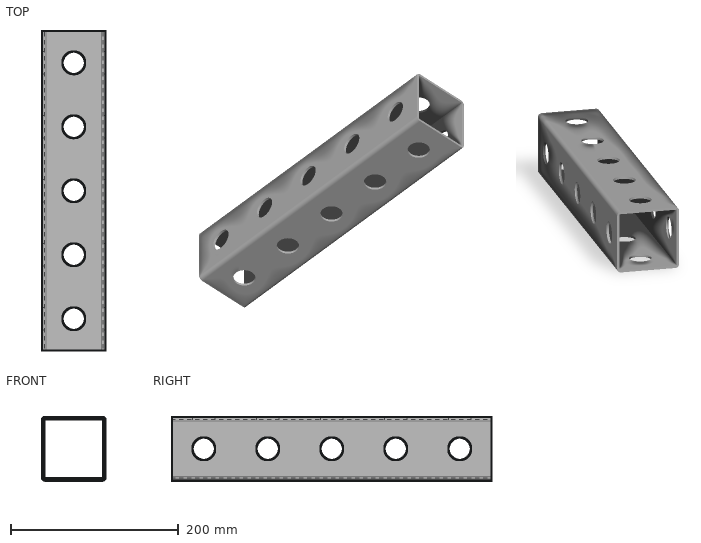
import cadquery as cq

length = 381.0
width = 76.2
wall = 3.0
outer_radius = 5.0

hole_diameter = 26.5
hole_count = 5
hole_pitch = length / hole_count


def square_bar(side):
    """Solid square bar along Y, centred on the origin."""
    return cq.Workplane("XY").box(side, length, side)


def hole_row(plane, spacing_x, spacing_y, count_x, count_y):
    """Cylinders evenly spaced along the tube that pass through both opposite walls."""
    return (
        cq.Workplane(plane)
        .rarray(spacing_x, spacing_y, count_x, count_y)
        .circle(hole_diameter / 2)
        .extrude(width, both=True)
    )


outer_bar = square_bar(width).edges("|Y").fillet(outer_radius)
tube = outer_bar.cut(square_bar(width - 2 * wall))

vertical_holes = hole_row("XY", hole_pitch, hole_pitch, 1, hole_count)
side_holes = hole_row("YZ", hole_pitch, hole_pitch, hole_count, 1)

result = tube.cut(vertical_holes).cut(side_holes)